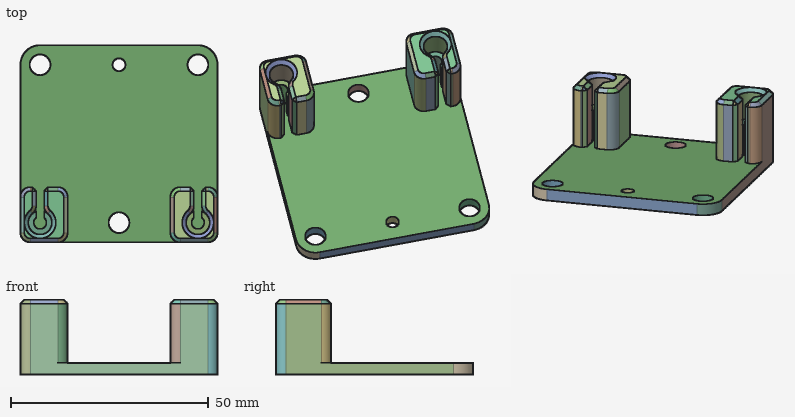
import cadquery as cq
import math


PLATE_SIZE = 50.0
PLATE_THICKNESS = 3.0
FRONT_CORNER_RADIUS = 2.5
BACK_CORNER_RADIUS = 5.0

HOLE_OFFSET = 20.0
MOUNT_HOLE_DIAMETER = 5.2
SMALL_HOLE_DIAMETER = 3.2

TOTAL_HEIGHT = 19.0
POST_WIDTH = 12.0
POST_LENGTH = 14.0

POST_CHAMFER = 0.995

BORE_DIAMETER = 6.0
SHELF_HOLE_DIAMETER = 3.2
SLOT_WIDTH = 2.0
JUNCTION_RADIUS = 2.5

HALF_PLATE = PLATE_SIZE / 2
POST_HEIGHT = TOTAL_HEIGHT - PLATE_THICKNESS
SHELF_THICKNESS = POST_HEIGHT / 2

SLOT_REACH = POST_LENGTH

EDGE_MARGIN = 0.1


def make_plate():
    """Square plate with rounded corners and four through holes."""
    plate = cq.Workplane("XY").rect(PLATE_SIZE, PLATE_SIZE).extrude(PLATE_THICKNESS)
    plate = plate.edges("|Z and <Y").fillet(FRONT_CORNER_RADIUS)
    plate = plate.edges("|Z and >Y").fillet(BACK_CORNER_RADIUS)
    mount_points = [(-HOLE_OFFSET, HOLE_OFFSET), (HOLE_OFFSET, HOLE_OFFSET), (0, -HOLE_OFFSET)]
    plate = plate.cut(cylinders(mount_points, MOUNT_HOLE_DIAMETER))
    return plate.cut(cylinders([(0, HOLE_OFFSET)], SMALL_HOLE_DIAMETER))


def cylinders(points, diameter):
    """Plate-thick cylinders of one diameter at the given points."""
    return cq.Workplane("XY").pushPoints(points).circle(diameter / 2).extrude(PLATE_THICKNESS)


def make_keyhole():
    """Cutter for one keyhole: bore about the Z axis and slot toward +Y, joined by tangent arcs."""
    bore_radius = BORE_DIAMETER / 2
    half_slot = SLOT_WIDTH / 2

    centre_x = half_slot + JUNCTION_RADIUS
    centre_distance = bore_radius + JUNCTION_RADIUS
    centre_y = math.sqrt(centre_distance**2 - centre_x**2)
    bore_x = bore_radius * centre_x / centre_distance
    bore_y = bore_radius * centre_y / centre_distance

    middle_angle = math.pi + math.atan2(centre_y, centre_x) / 2
    middle_x = centre_x + JUNCTION_RADIUS * math.cos(middle_angle)
    middle_y = centre_y + JUNCTION_RADIUS * math.sin(middle_angle)

    return (
        cq.Workplane("XY", origin=(0, 0, PLATE_THICKNESS))
        .moveTo(-half_slot, SLOT_REACH)
        .lineTo(-half_slot, centre_y)
        .threePointArc((-middle_x, middle_y), (-bore_x, bore_y))
        .threePointArc((0, -bore_radius), (bore_x, bore_y))
        .threePointArc((middle_x, middle_y), (half_slot, centre_y))
        .lineTo(half_slot, SLOT_REACH)
        .close()
        .extrude(POST_HEIGHT)
    )


def make_shelf():
    """Ring in the lower bore, pierced by a smaller hole and by the slot."""
    base = cq.Workplane("XY", origin=(0, 0, PLATE_THICKNESS))
    ring = base.circle(BORE_DIAMETER / 2).circle(SHELF_HOLE_DIAMETER / 2).extrude(SHELF_THICKNESS)
    slot = base.center(0, SLOT_REACH / 2).rect(SLOT_WIDTH, SLOT_REACH).extrude(SHELF_THICKNESS)
    return ring.cut(slot)


def make_post(side):
    """Post on the front corner at the given X side (-1 or 1)."""
    bore_x = side * HOLE_OFFSET
    bore_y = -HOLE_OFFSET
    back_y = POST_LENGTH - HALF_PLATE
    post = (
        cq.Workplane("XY", origin=(0, 0, PLATE_THICKNESS))
        .center(side * (HALF_PLATE - POST_WIDTH / 2), back_y - POST_LENGTH / 2)
        .rect(POST_WIDTH, POST_LENGTH)
        .extrude(POST_HEIGHT)
        .edges("|Z")
        .fillet(FRONT_CORNER_RADIUS)
        .cut(make_keyhole().translate((bore_x, bore_y, 0)))
    )

    mouth_box = cq.selectors.BoxSelector(
        (bore_x - SLOT_WIDTH, back_y - EDGE_MARGIN, 0),
        (bore_x + SLOT_WIDTH, back_y + EDGE_MARGIN, TOTAL_HEIGHT),
    )
    top_edges = post.faces(">Z").edges()
    mouth_edges = post.edges("|Z").edges(mouth_box)
    post = top_edges.add(mouth_edges).chamfer(POST_CHAMFER)
    return post.union(make_shelf().translate((bore_x, bore_y, 0)))


result = make_plate()
for post_side in (-1, 1):
    result = result.union(make_post(post_side))